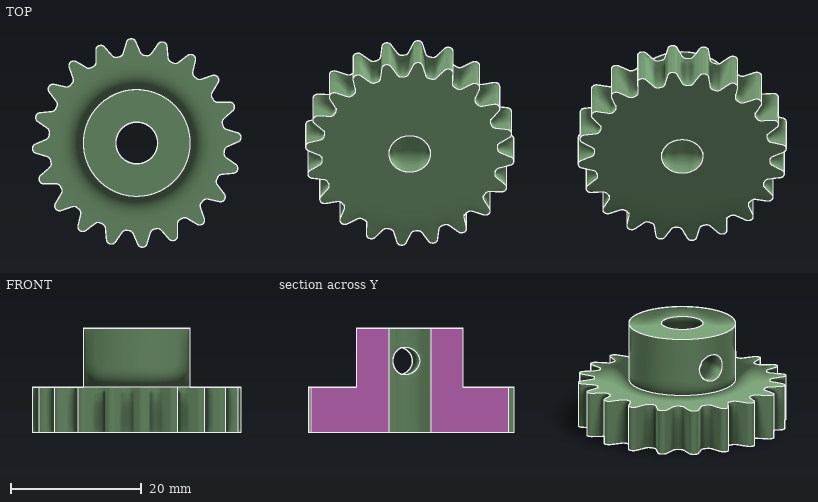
import cadquery as cq
import math

tooth_count = 20
first_tooth_angle = 3.2
wheel_thickness = 7.0
tip_radius = 16.0
root_radius = 13.48
tip_round = 0.77
root_round = 0.75
root_land = 0.38

total_height = 16.0
hub_diameter = 16.35
bore_diameter = 6.35
side_hole_diameter = 4.2
side_hole_depth_from_top = 5.02

pitch_angle = 360 / tooth_count
side_hole_angle = first_tooth_angle + 5.5 * pitch_angle
gap_angle = pitch_angle / 2
land_angle = gap_angle - math.degrees(math.asin(root_land / 2 / root_radius))


def polar(radius, degrees):
    angle = math.radians(degrees)
    return (radius * math.cos(angle), radius * math.sin(angle))


def tooth_half():
    """Polar points (radius, degrees from the tooth axis) along one side of a tooth.

    The flank is the inner common tangent of the crest circle and the root fillet circle.
    Returns its outer end, its inner end and the middle of the root fillet arc.
    """
    tip_x = tip_radius - tip_round
    root_x, root_y = polar(root_radius + root_round, land_angle)
    center_distance = math.hypot(root_x - tip_x, root_y)
    center_line_angle = math.atan2(root_y, root_x - tip_x)
    normal_angle = center_line_angle - math.acos((tip_round + root_round) / center_distance)
    fillet_middle_angle = (normal_angle + math.radians(land_angle)) / 2
    points = (
        (tip_x + tip_round * math.cos(normal_angle), tip_round * math.sin(normal_angle)),
        (root_x - root_round * math.cos(normal_angle), root_y - root_round * math.sin(normal_angle)),
        (
            root_x - root_round * math.cos(fillet_middle_angle),
            root_y - root_round * math.sin(fillet_middle_angle),
        ),
    )
    return [(math.hypot(x, y), math.degrees(math.atan2(y, x))) for x, y in points]


def make_wheel():
    (outer_radius, outer_angle), (inner_radius, inner_angle), (fillet_radius, fillet_angle) = tooth_half()
    outline = cq.Workplane("XY").moveTo(*polar(outer_radius, first_tooth_angle - outer_angle))
    for tooth in range(tooth_count):
        axis = first_tooth_angle + tooth * pitch_angle
        next_axis = axis + pitch_angle
        outline = (
            outline
            .threePointArc(polar(tip_radius, axis), polar(outer_radius, axis + outer_angle))
            .lineTo(*polar(inner_radius, axis + inner_angle))
            .threePointArc(polar(fillet_radius, axis + fillet_angle), polar(root_radius, axis + land_angle))
            .threePointArc(polar(root_radius, axis + gap_angle), polar(root_radius, next_axis - land_angle))
            .threePointArc(
                polar(fillet_radius, next_axis - fillet_angle),
                polar(inner_radius, next_axis - inner_angle),
            )
            .lineTo(*polar(outer_radius, next_axis - outer_angle))
        )
    return outline.close().extrude(wheel_thickness)


def make_hub():
    return cq.Workplane("XY").circle(hub_diameter / 2).extrude(total_height)


def make_bore():
    return cq.Workplane("XY").circle(bore_diameter / 2).extrude(total_height)


def make_side_hole():
    """Radial hole from the wheel axis out through one wall of the hub."""
    direction = cq.Vector(*polar(1, side_hole_angle), 0)
    start = cq.Vector(0, 0, total_height - side_hole_depth_from_top)
    return cq.Solid.makeCylinder(side_hole_diameter / 2, hub_diameter, start, direction)


result = make_wheel().union(make_hub()).cut(make_bore()).cut(make_side_hole())